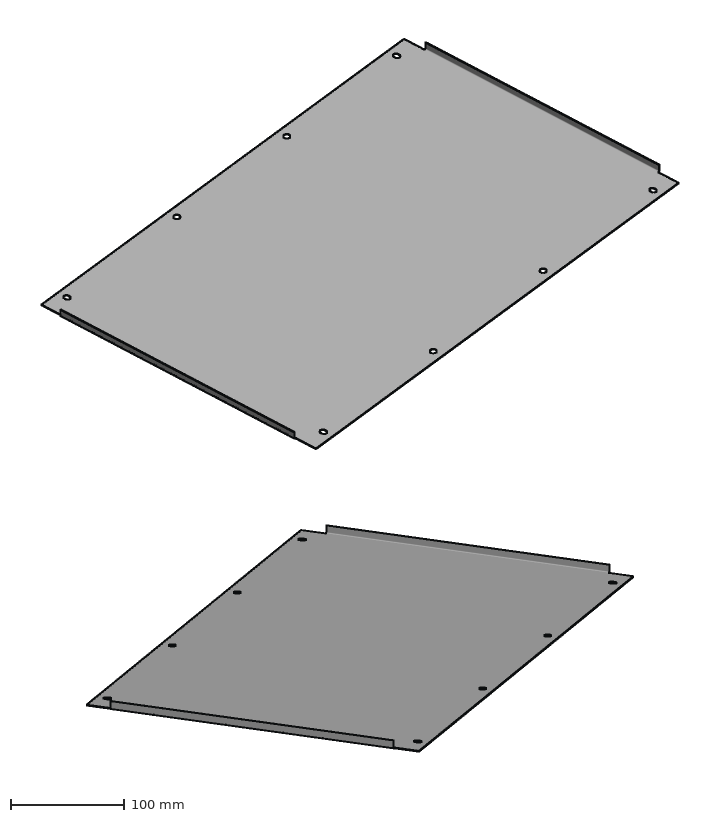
import cadquery as cq

OVERALL_WIDTH = 317.0
OVERALL_LENGTH = 499.0
OVERALL_HEIGHT = 8.0

THICKNESS = 1.0
INNER_BEND_RADIUS = 1.0
OUTER_BEND_RADIUS = INNER_BEND_RADIUS + THICKNESS

FLANGE_INSET = 23.5
FLANGE_WIDTH = OVERALL_WIDTH - 2 * FLANGE_INSET

PANEL_LENGTH = OVERALL_LENGTH - 2 * OUTER_BEND_RADIUS

COLUMN_SPACING = 296.0
ROW_PITCH = 150.0
HOLE_DIAMETER = 6.4
SLOT_LENGTH = 7.0
SLOT_WIDTH = 5.5


def make_panel():
    """Flat rectangular sheet with its underside on Z = 0."""
    return cq.Workplane("XY").box(
        OVERALL_WIDTH, PANEL_LENGTH, THICKNESS, centered=(True, True, False)
    )


def make_flange():
    """Upturned flange with its rounded bend, at the +Y end."""
    bend_start = PANEL_LENGTH / 2
    outer_face = OVERALL_LENGTH / 2
    inner_face = outer_face - THICKNESS
    profile = (
        cq.Workplane("YZ")
        .moveTo(bend_start, 0)
        .radiusArc((outer_face, OUTER_BEND_RADIUS), -OUTER_BEND_RADIUS)
        .lineTo(outer_face, OVERALL_HEIGHT)
        .lineTo(inner_face, OVERALL_HEIGHT)
        .lineTo(inner_face, OUTER_BEND_RADIUS)
        .radiusArc((bend_start, THICKNESS), INNER_BEND_RADIUS)
        .close()
    )
    return profile.extrude(FLANGE_WIDTH / 2, both=True)


def make_hole_cutters():
    """Round holes in the two middle rows, slots along X in the end rows."""
    columns = (-COLUMN_SPACING / 2, COLUMN_SPACING / 2)
    middle_rows = (-ROW_PITCH / 2, ROW_PITCH / 2)
    end_rows = (-1.5 * ROW_PITCH, 1.5 * ROW_PITCH)
    round_holes = (
        cq.Workplane("XY")
        .pushPoints([(x, y) for x in columns for y in middle_rows])
        .circle(HOLE_DIAMETER / 2)
        .extrude(THICKNESS)
    )
    slots = (
        cq.Workplane("XY")
        .pushPoints([(x, y) for x in columns for y in end_rows])
        .slot2D(SLOT_LENGTH, SLOT_WIDTH)
        .extrude(THICKNESS)
    )
    return round_holes.add(slots).combine()


flange = make_flange()
result = (
    make_panel()
    .union(flange)
    .union(flange.mirror("XZ"))
    .cut(make_hole_cutters())
)